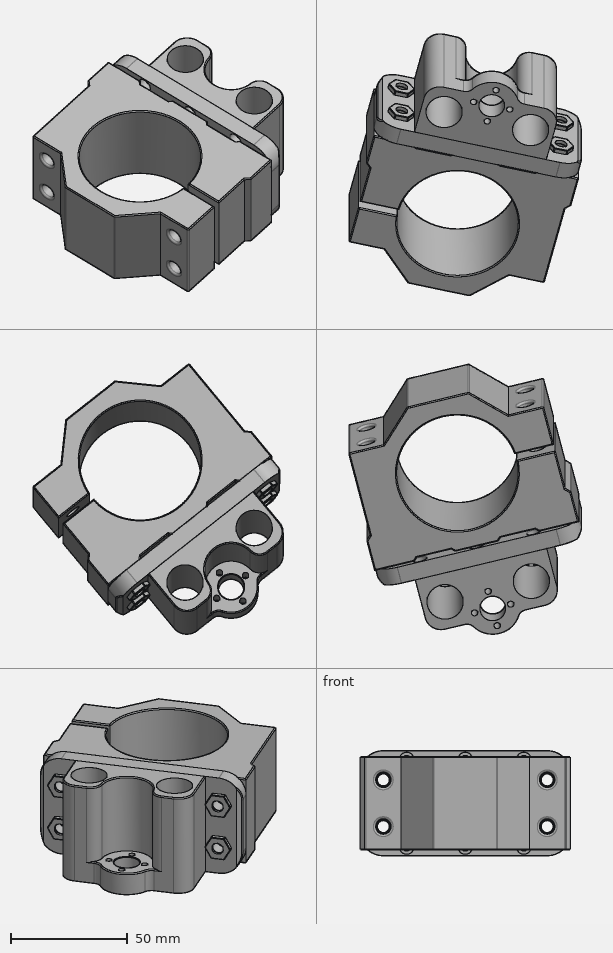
import cadquery as cq
import math

EDGE_BREAK = 0.5

CLAMP_HEIGHT = 40.0
CLAMP_DEPTH = 67.9
SHOULDER_HALF_WIDTH = 45.0
SHOULDER_DEPTH = 14.0
SHOULDER_STEP = 2.0
JAW_HALF_WIDTH = SHOULDER_HALF_WIDTH - SHOULDER_STEP
JAW_DEPTH = 53.9
NOSE_HALF_WIDTH = 13.5
NOSE_ROOT_HALF_WIDTH = NOSE_HALF_WIDTH + CLAMP_DEPTH - JAW_DEPTH
CORNER_ROUND = 0.6
BORE_DIAMETER = 52.0
BORE_Y = -CLAMP_DEPTH / 2
SLIT_WIDTH = 3.0
SLIT_Y = -34.8
RELIEF_X = 18.5
RELIEF_TOP_WIDTH = 18.0
RELIEF_DEPTH = 1.4

BOLT_X = 35.0
BOLT_Z = 10.0
BOLT_HOLE_DIAMETER = 6.5
BOLT_MOUTH_ROUND = 1.0
NUT_ACROSS_FLATS = 10.0
NUT_THICKNESS = 2.0
NUT_BORE_DIAMETER = 5.0
NUT_BORE_CHAMFER = 0.48
NUT_EDGE_BREAK = 0.3

PLATE_WIDTH = 2 * SHOULDER_HALF_WIDTH
PLATE_HEIGHT = 45.0
PLATE_THICKNESS = 7.4
PLATE_CORNER_RADIUS = 10.0
PLATE_END_CHAMFER = 2.0
PLATE_END_BREAK = 0.4
SCREW_X = 25.0
SCREW_Z = 18.8
SCREW_HOLE_DIAMETER = 3.3
SCREW_HEAD_DIAMETER = 6.0
SCREW_MOUTH_ROUND = 0.1
SCREW_HEAD_DEPTH = 3.5

BRACKET_HALF_WIDTH = 29.0
BRACKET_DEPTH = 24.6
BRACKET_BACK_Y = PLATE_THICKNESS + BRACKET_DEPTH
BRACKET_CORNER_RADIUS = 7.0
ROD_HOLE_DIAMETER = 15.5
ROD_X = 19.0
ROD_Y = PLATE_THICKNESS + 12.7
FLANGE_RADIUS = 11.6
FLANGE_Y = PLATE_THICKNESS + 20.5
FLANGE_THICKNESS = 10.0
FLANGE_NECK_RADIUS = 4.0
FLANGE_BORE_DIAMETER = 11.0
FLANGE_BORE_CHAMFER = 0.3
FLANGE_SCREW_COUNT = 4
FLANGE_SCREW_DIAMETER = 2.7
FLANGE_SCREW_CIRCLE_RADIUS = 8.0
RECESS_RADIUS = 11.3
RECESS_LIP_RADIUS = 5.5


def bolt_points():
    return [(x, z) for x in (-BOLT_X, BOLT_X) for z in (-BOLT_Z, BOLT_Z)]


def y_cylinder(diameter, x, z, y_start, y_end):
    """Cylinder along Y from y_start up to y_end."""
    return (
        cq.Workplane("XZ", origin=(x, y_start, z))
        .circle(diameter / 2)
        .extrude(y_start - y_end)
    )


def make_clamp():
    right_side = [
        (SHOULDER_HALF_WIDTH, 0),
        (SHOULDER_HALF_WIDTH, -SHOULDER_DEPTH),
        (JAW_HALF_WIDTH, -SHOULDER_DEPTH - SHOULDER_STEP),
        (JAW_HALF_WIDTH, -JAW_DEPTH),
        (NOSE_ROOT_HALF_WIDTH, -JAW_DEPTH),
        (NOSE_HALF_WIDTH, -CLAMP_DEPTH),
    ]
    left_side = [(-x, y) for x, y in reversed(right_side)]
    base = cq.Workplane("XY", origin=(0, 0, -CLAMP_HEIGHT / 2))
    clamp = base.polyline(right_side + left_side).close().extrude(CLAMP_HEIGHT)

    outward_corners = [
        (SHOULDER_HALF_WIDTH, -SHOULDER_DEPTH),
        (JAW_HALF_WIDTH, -JAW_DEPTH),
        (NOSE_HALF_WIDTH, -CLAMP_DEPTH),
    ]
    for x, y in outward_corners:
        for side in (-1, 1):
            corner = cq.selectors.NearestToPointSelector((side * x, y, 0))
            clamp = clamp.edges("|Z").edges(corner).fillet(CORNER_ROUND)

    clamp = clamp.cut(base.center(0, BORE_Y).circle(BORE_DIAMETER / 2).extrude(CLAMP_HEIGHT))
    slit = base.center(SHOULDER_HALF_WIDTH / 2, SLIT_Y).rect(SHOULDER_HALF_WIDTH, SLIT_WIDTH)
    clamp = clamp.cut(slit.extrude(CLAMP_HEIGHT))

    half_top = RELIEF_TOP_WIDTH / 2
    half_floor = half_top - RELIEF_DEPTH
    for x in (-RELIEF_X, RELIEF_X):
        relief = base.polyline([
            (x - half_top, 0),
            (x - half_floor, -RELIEF_DEPTH),
            (x + half_floor, -RELIEF_DEPTH),
            (x + half_top, 0),
        ]).close()
        clamp = clamp.cut(relief.extrude(CLAMP_HEIGHT))

    clamp = clamp.faces("<Z or >Z").edges().chamfer(EDGE_BREAK)

    for x, z in bolt_points():
        clamp = clamp.cut(y_cylinder(BOLT_HOLE_DIAMETER, x, z, -JAW_DEPTH, 0))
        mouth = cq.selectors.NearestToPointSelector((x, -JAW_DEPTH, z))
        clamp = clamp.edges("%CIRCLE").edges(mouth).fillet(BOLT_MOUTH_ROUND)
    return clamp


def make_plate():
    plate = (
        cq.Workplane("XZ")
        .rect(PLATE_WIDTH, PLATE_HEIGHT)
        .extrude(-PLATE_THICKNESS)
        .edges("|Y")
        .fillet(PLATE_CORNER_RADIUS)
    )

    for side in (-1, 1):
        end_x = side * PLATE_WIDTH / 2
        bevel = (
            cq.Workplane("XY", origin=(0, 0, -PLATE_HEIGHT / 2))
            .polyline([
                (end_x, PLATE_THICKNESS - PLATE_END_CHAMFER),
                (end_x, PLATE_THICKNESS),
                (end_x - side * PLATE_END_CHAMFER, PLATE_THICKNESS),
            ])
            .close()
            .extrude(PLATE_HEIGHT)
        )
        plate = plate.cut(bevel)
        bevel_edge = cq.selectors.NearestToPointSelector((end_x, PLATE_THICKNESS - PLATE_END_CHAMFER, 0))
        plate = plate.edges("|Z").edges(bevel_edge).chamfer(PLATE_END_BREAK)

    for x, z in bolt_points():
        plate = plate.cut(y_cylinder(BOLT_HOLE_DIAMETER, x, z, 0, PLATE_THICKNESS))

    for x in (-SCREW_X, 0, SCREW_X):
        for z in (-SCREW_Z, SCREW_Z):
            plate = plate.cut(y_cylinder(SCREW_HOLE_DIAMETER, x, z, 0, PLATE_THICKNESS))
            plate = plate.cut(y_cylinder(SCREW_HEAD_DIAMETER, x, z, 0, SCREW_HEAD_DEPTH))
            mouth = cq.selectors.NearestToPointSelector((x, 0, z))
            plate = plate.edges("%CIRCLE").edges(mouth).fillet(SCREW_MOUTH_ROUND)
    return plate


def bracket_base(x, y):
    """Workplane in the bracket's lower face, centred on (x, y)."""
    return cq.Workplane("XY", origin=(x, y, -PLATE_HEIGHT / 2))


def bracket_block(height):
    """Upright block with rounded back corners, standing on the bracket's lower face."""
    return (
        bracket_base(0, PLATE_THICKNESS + BRACKET_DEPTH / 2)
        .rect(2 * BRACKET_HALF_WIDTH, BRACKET_DEPTH)
        .extrude(height)
        .edges("|Z and >Y")
        .fillet(BRACKET_CORNER_RADIUS)
    )


def round_corners_at_back(body, circle_radius, corner_radius):
    """Round the two upright edges where a circle about the flange axis crosses the back face."""
    crossing_x = math.sqrt(circle_radius**2 - (BRACKET_BACK_Y - FLANGE_Y) ** 2)
    for x in (-crossing_x, crossing_x):
        crossing = cq.selectors.NearestToPointSelector((x, BRACKET_BACK_Y, body.val().Center().z))
        body = body.edges("|Z").edges(crossing).fillet(corner_radius)
    return body


def make_bracket_upright():
    """Full-height part with the rod holes, recessed around the flange axis."""
    recess = bracket_base(0, FLANGE_Y).circle(RECESS_RADIUS).extrude(PLATE_HEIGHT)
    upright = bracket_block(PLATE_HEIGHT).cut(recess)
    upright = round_corners_at_back(upright, RECESS_RADIUS, RECESS_LIP_RADIUS)
    return upright.faces(">Z").edges("not <Y").chamfer(EDGE_BREAK)


def make_bracket_foot():
    """Low part that fills the foot of the recess and carries the round flange."""
    flange = bracket_base(0, FLANGE_Y).circle(FLANGE_RADIUS).extrude(FLANGE_THICKNESS)
    foot = bracket_block(FLANGE_THICKNESS).union(flange)
    foot = round_corners_at_back(foot, FLANGE_RADIUS, FLANGE_NECK_RADIUS)
    return foot.faces(">Z").edges("not <Y").chamfer(EDGE_BREAK)


def make_bracket():
    bracket = make_bracket_upright().union(make_bracket_foot())

    for x in (-ROD_X, ROD_X):
        rod_hole = bracket_base(x, ROD_Y).circle(ROD_HOLE_DIAMETER / 2).extrude(PLATE_HEIGHT)
        bracket = bracket.cut(rod_hole)

    flange_bore = bracket_base(0, FLANGE_Y).circle(FLANGE_BORE_DIAMETER / 2).extrude(FLANGE_THICKNESS)
    flange_top = cq.Workplane("XY", origin=(0, FLANGE_Y, FLANGE_THICKNESS - PLATE_HEIGHT / 2))
    bore_chamfer = (
        flange_top.circle(FLANGE_BORE_DIAMETER / 2 + FLANGE_BORE_CHAMFER)
        .extrude(-FLANGE_BORE_CHAMFER, taper=45)
    )
    bracket = bracket.cut(flange_bore).cut(bore_chamfer)

    flange_screws = (
        bracket_base(0, FLANGE_Y)
        .polarArray(FLANGE_SCREW_CIRCLE_RADIUS, 0, 360, FLANGE_SCREW_COUNT)
        .circle(FLANGE_SCREW_DIAMETER / 2)
        .extrude(FLANGE_THICKNESS)
    )
    return bracket.cut(flange_screws)


def make_nut(x, z):
    corner_diameter = NUT_ACROSS_FLATS / math.cos(math.pi / 6)
    nut = (
        cq.Workplane("XZ", origin=(x, PLATE_THICKNESS, z))
        .polygon(6, corner_diameter)
        .extrude(-NUT_THICKNESS)
        .edges("|Y")
        .chamfer(NUT_EDGE_BREAK)
        .faces(">Y")
        .edges()
        .chamfer(NUT_EDGE_BREAK)
    )
    y_end = PLATE_THICKNESS + NUT_THICKNESS
    nut = nut.cut(y_cylinder(NUT_BORE_DIAMETER, x, z, PLATE_THICKNESS, y_end))
    entry = cq.selectors.NearestToPointSelector((x, PLATE_THICKNESS, z))
    return nut.edges("%CIRCLE").edges(entry).chamfer(NUT_BORE_CHAMFER)


clamp = make_clamp()
plate = make_plate()
bracket = make_bracket()
nuts = [make_nut(x, z) for x, z in bolt_points()]

result = cq.Compound.makeCompound([clamp.val(), plate.val(), bracket.val(), *[nut.val() for nut in nuts]])